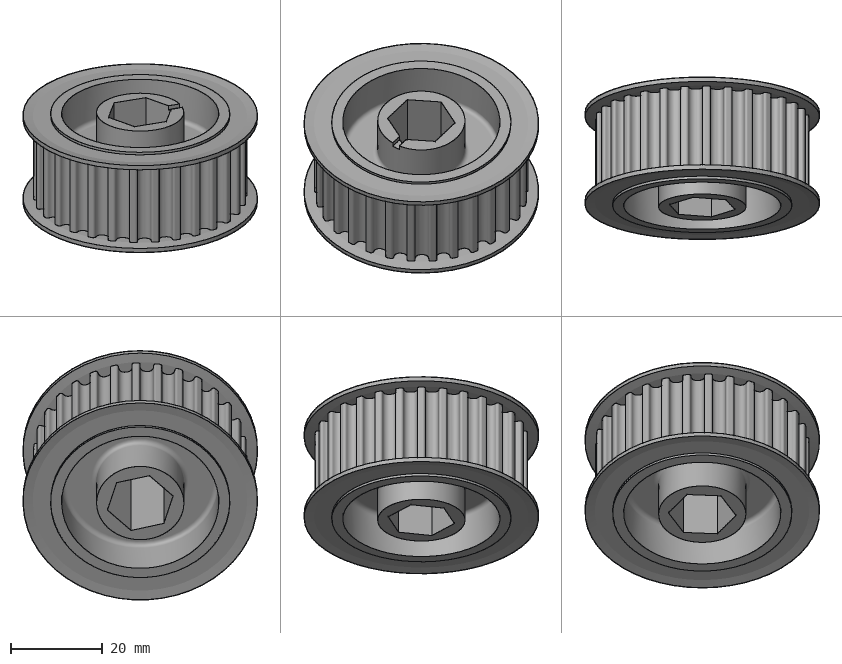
import cadquery as cq
import math

HUB_HEIGHT = 22.25
BELT_WIDTH = 18.35

TOOTH_COUNT = 30
TOOTH_TIP_RADIUS = 23.2
GROOVE_DEPTH = 2.2
GROOVE_HALF_WIDTH = 1.5
GROOVE_FLOOR_HALF_WIDTH = 0.2
TOOTH_TIP_ROUND = 0.5

SHOULDER_RADIUS = 19.5
SHOULDER_HEIGHT = 21.6

HUB_RADIUS = 9.5
POCKET_RADIUS = 17.1
WEB_THICKNESS = 3.35
POCKET_FILLET = 1.0
HEX_ACROSS_FLATS = 12.75
NOTCH_WIDTH = 1.75
NOTCH_DEPTH = 0.95

FLANGE_RADIUS = 25.5
FLANGE_THICKNESS = 1.0
LIP_INNER_RADIUS = 23.3
LIP_RISE = 0.3


def make_groove():
    """Cutter for one belt groove on the -Y side: flat floor, round corners, straight walls, flared mouth."""
    corner_radius = GROOVE_HALF_WIDTH - GROOVE_FLOOR_HALF_WIDTH
    floor_y = TOOTH_TIP_RADIUS - GROOVE_DEPTH
    corner_y = floor_y + corner_radius
    mouth_half_width = GROOVE_HALF_WIDTH + TOOTH_TIP_ROUND
    mouth_y = math.sqrt(TOOTH_TIP_RADIUS**2 - mouth_half_width**2)
    wall_top_y = mouth_y - TOOTH_TIP_ROUND
    diagonal = math.sqrt(0.5)
    corner_mid_x = GROOVE_FLOOR_HALF_WIDTH + corner_radius * diagonal
    corner_mid_y = corner_y - corner_radius * diagonal
    tip_mid_x = mouth_half_width - TOOTH_TIP_ROUND * diagonal
    tip_mid_y = wall_top_y + TOOTH_TIP_ROUND * diagonal
    return (
        cq.Workplane("XY", origin=(0, 0, -BELT_WIDTH / 2))
        .moveTo(-mouth_half_width, -FLANGE_RADIUS)
        .lineTo(-mouth_half_width, -mouth_y)
        .threePointArc((-tip_mid_x, -tip_mid_y), (-GROOVE_HALF_WIDTH, -wall_top_y))
        .lineTo(-GROOVE_HALF_WIDTH, -corner_y)
        .threePointArc((-corner_mid_x, -corner_mid_y), (-GROOVE_FLOOR_HALF_WIDTH, -floor_y))
        .lineTo(GROOVE_FLOOR_HALF_WIDTH, -floor_y)
        .threePointArc((corner_mid_x, -corner_mid_y), (GROOVE_HALF_WIDTH, -corner_y))
        .lineTo(GROOVE_HALF_WIDTH, -wall_top_y)
        .threePointArc((tip_mid_x, -tip_mid_y), (mouth_half_width, -mouth_y))
        .lineTo(mouth_half_width, -FLANGE_RADIUS)
        .close()
        .extrude(BELT_WIDTH)
    )


def centred_cylinder(radius, height):
    return cq.Workplane("XY").circle(radius).extrude(height / 2, both=True)


def make_toothed_rim():
    rim = centred_cylinder(TOOTH_TIP_RADIUS, BELT_WIDTH)
    groove = make_groove().val()
    grooves = [
        groove.rotate(cq.Vector(0, 0, 0), cq.Vector(0, 0, 1), index * 360 / TOOTH_COUNT)
        for index in range(TOOTH_COUNT)
    ]
    return rim.cut(cq.Compound.makeCompound(grooves))


def make_pocket():
    """Ring-shaped pocket above the web, with both floor corners rounded."""
    return (
        cq.Workplane("XY", origin=(0, 0, WEB_THICKNESS / 2))
        .circle(POCKET_RADIUS)
        .circle(HUB_RADIUS)
        .extrude(HUB_HEIGHT)
        .faces("<Z")
        .edges()
        .fillet(POCKET_FILLET)
    )


def make_pulley():
    pulley = make_toothed_rim().union(centred_cylinder(SHOULDER_RADIUS, SHOULDER_HEIGHT))
    pulley = pulley.union(centred_cylinder(HUB_RADIUS, HUB_HEIGHT))

    pocket = make_pocket()
    pulley = pulley.cut(pocket).cut(pocket.mirror("XY"))

    hex_across_corners = HEX_ACROSS_FLATS / math.cos(math.pi / 6)
    bore = (
        cq.Workplane("XY")
        .transformed(rotate=(0, 0, 90))
        .polygon(6, hex_across_corners)
        .extrude(HUB_HEIGHT, both=True)
    )
    pulley = pulley.cut(bore)

    notch = cq.Workplane("XY", origin=(0, 0, HUB_HEIGHT / 2 - NOTCH_DEPTH)).box(
        NOTCH_WIDTH, HUB_RADIUS, NOTCH_DEPTH, centered=(True, False, False)
    )
    return pulley.cut(notch)


def make_top_flange():
    bottom = BELT_WIDTH / 2
    top = bottom + FLANGE_THICKNESS
    return (
        cq.Workplane("XZ")
        .moveTo(SHOULDER_RADIUS, bottom)
        .lineTo(LIP_INNER_RADIUS, bottom)
        .lineTo(FLANGE_RADIUS, bottom + LIP_RISE)
        .lineTo(FLANGE_RADIUS, top + LIP_RISE)
        .lineTo(LIP_INNER_RADIUS, top)
        .lineTo(SHOULDER_RADIUS, top)
        .close()
        .revolve(360, (0, 0, 0), (0, 1, 0))
    )


pulley = make_pulley()
top_flange = make_top_flange()
flanges = [top_flange, top_flange.mirror("XY")]

result = cq.Compound.makeCompound([pulley.val(), *[flange.val() for flange in flanges]])